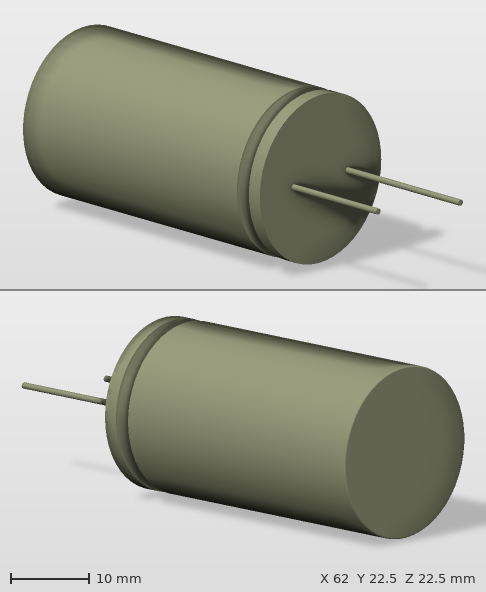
import cadquery as cq

total_length = 62.0
body_diameter = 22.5
body_length = 42.0
edge_radius = 0.2
rim_width = 1.9
groove_radius = 1.05
lead_diameter = 0.8
lead_spacing = 10.0
lead_length_difference = 5.0

body_radius = body_diameter / 2
closed_end_x = -total_length / 2
lead_end_x = closed_end_x + body_length
groove_end_x = lead_end_x - rim_width
groove_center_x = groove_end_x - groove_radius
groove_start_x = groove_center_x - groove_radius
long_lead_length = total_length - body_length
short_lead_length = long_lead_length - lead_length_difference


def make_can():
    """Cylinder with a rounded closed end and a half-round groove near the lead end."""
    half_profile = (
        cq.Workplane("XY")
        .moveTo(closed_end_x, 0)
        .lineTo(closed_end_x, body_radius)
        .lineTo(groove_start_x, body_radius)
        .threePointArc(
            (groove_center_x, body_radius - groove_radius),
            (groove_end_x, body_radius),
        )
        .lineTo(lead_end_x, body_radius)
        .lineTo(lead_end_x, 0)
        .close()
    )
    can = half_profile.revolve(360, (0, 0, 0), (1, 0, 0))
    return can.faces("<X").edges().fillet(edge_radius)


def make_lead(y, length):
    """Straight round wire standing on the lead end of the can."""
    return (
        cq.Workplane("YZ", origin=(lead_end_x, y, 0))
        .circle(lead_diameter / 2)
        .extrude(length)
    )


can = make_can()

leads = [
    make_lead(y, length)
    for y, length in (
        (lead_spacing / 2, long_lead_length),
        (-lead_spacing / 2, short_lead_length),
    )
]

result = cq.Compound.makeCompound([can.val(), *[lead.val() for lead in leads]])